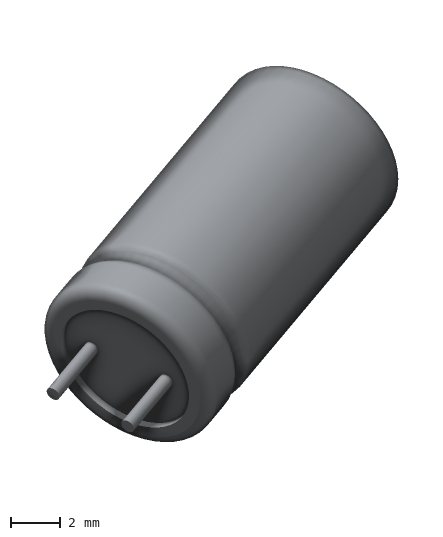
import cadquery as cq
import math

can_radius = 4.0
can_length = 15.0
edge_radius = 0.5

groove_center = 2.44
groove_depth = 0.25
groove_half_width = 0.65

recess_radius = 3.0
recess_depth = 0.3

lead_radius = 0.3
lead_pitch = 3.5
lead_length = 2.71

blend_angle = 2 * math.atan(groove_depth / groove_half_width)
blend_radius = groove_half_width / (2 * math.sin(blend_angle))


def blend_rise(angle):
    """Radial rise of a blend arc after turning through the given angle."""
    return blend_radius * (1 - math.cos(angle))


def blend_run(angle):
    """Axial run of a blend arc after turning through the given angle."""
    return blend_radius * math.sin(angle)


def make_can():
    """Revolved can with the crimp groove, rounded at both ends."""
    floor_radius = can_radius - groove_depth
    groove_start = groove_center - groove_half_width
    groove_end = groove_center + groove_half_width
    half_angle = blend_angle / 2
    shoulder_radius = can_radius - blend_rise(half_angle)
    shoulder_run = blend_run(half_angle)
    mid_radius = floor_radius + blend_rise(blend_angle)
    mid_run = blend_run(blend_angle)

    profile = (
        cq.Workplane("XY")
        .lineTo(can_radius, 0)
        .lineTo(can_radius, groove_start)
        .threePointArc((shoulder_radius, groove_start + shoulder_run), (mid_radius, groove_center - mid_run))
        .threePointArc((floor_radius, groove_center), (mid_radius, groove_center + mid_run))
        .threePointArc((shoulder_radius, groove_end - shoulder_run), (can_radius, groove_end))
        .lineTo(can_radius, can_length)
        .lineTo(0, can_length)
        .close()
    )
    can = profile.revolve(360, (0, 0, 0), (0, 1, 0))
    return can.faces("<Y or >Y").edges().fillet(edge_radius)


def make_rod(x, radius, start, end):
    """Cylinder parallel to Y at the given X, from Y = start to Y = end."""
    axis_start = cq.Vector(x, start, 0)
    return cq.Workplane(cq.Solid.makeCylinder(radius, end - start, axis_start, cq.Vector(0, 1, 0)))


def add_leads(body):
    """Two round leads standing on the recessed seal."""
    for x in (-lead_pitch / 2, lead_pitch / 2):
        body = body.union(make_rod(x, lead_radius, -lead_length, recess_depth))
    return body


sealed_can = make_can().cut(make_rod(0, recess_radius, 0, recess_depth))
result = add_leads(sealed_can)